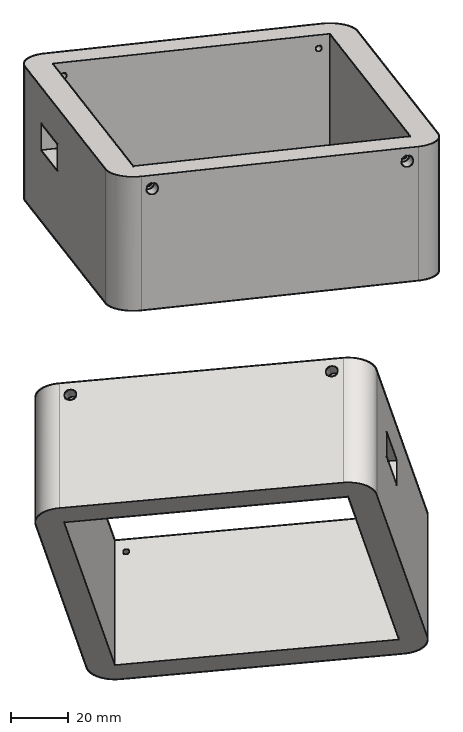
import cadquery as cq

side = 120.0
height = 50.0
inner_side = 100.0
wall = (side - inner_side) / 2
corner_radius = wall

window_width = 20.0
window_height = 10.0
window_inset = 30.0
window_drop = 13.5
window_left = -side / 2 + window_inset
window_top = height / 2 - window_drop

hole_diameter = 2.2
head_diameter = 4.2
head_depth = 5.0
hole_spacing = 92.0
hole_drop = 5.0


def make_frame():
    outer = cq.Workplane("XY").box(side, side, height).edges("|Z").fillet(corner_radius)
    opening = cq.Workplane("XY").box(inner_side, inner_side, height)
    return outer.cut(opening)


def make_window():
    return cq.Workplane("XY").box(window_width, wall, window_height).translate((
        window_left + window_width / 2,
        -side / 2 + wall / 2,
        window_top - window_height / 2,
    ))


def make_screw_hole(wall_sign, y):
    """Counterbored hole drilled inward from the outer face of one X wall."""
    mouth = cq.Vector(wall_sign * side / 2, y, height / 2 - hole_drop)
    inward = cq.Vector(-wall_sign, 0, 0)
    shank = cq.Solid.makeCylinder(hole_diameter / 2, wall, mouth, inward)
    head = cq.Solid.makeCylinder(head_diameter / 2, head_depth, mouth, inward)
    return shank.fuse(head)


result = make_frame().cut(make_window())
for wall_sign in (-1, 1):
    for y in (-hole_spacing / 2, hole_spacing / 2):
        result = result.cut(cq.Workplane(obj=make_screw_hole(wall_sign, y)))